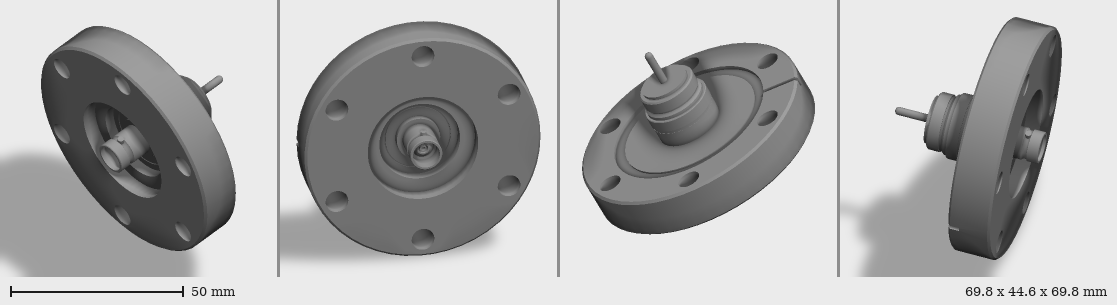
import cadquery as cq
import math

total_length = 44.6

flange_radius = 34.9
flange_thickness = 12.7
flange_chamfer = 0.7
bolt_count = 6
bolt_circle_radius = 29.4
bolt_hole_radius = 3.35

recess_radius = 16.35
recess_depth = 4.6
inner_recess_radius = 11.95
inner_recess_depth = 7.75

gasket_radius = 24.2
gasket_depth = 1.25
seal_edge_radius = 20.95
seal_edge_depth = 0.6
leak_slot_width = 1.5
leak_slot_depth = 3.5
leak_slot_end_x = 23.4

gap_depth = 0.4
tube_gap_radii = (9.5, 9.85)
shoulder_gap_radii = (6.4, 6.7)

tube_radius = 9.65
tube_length = 4.2
neck_radius = 9.6
neck_end = 5.25
collar_radius = 9.85
collar_end = 8.8
collar_chamfer = 0.2
step_radius = 9.0
step_end = 10.6
step_chamfer = 0.8
groove_radius = 8.2
groove_end = 11.3
head_radius = 8.6
head_end = 15.1
head_chamfer = 0.4
undercut_radius = 6.9
undercut_end = 15.3
cap_radius = 7.1
cap_end = 16.15
pin_radius = 1.2

connector_length = 4.9
shoulder_face_y = 6.2
barrel_radius = 4.75
barrel_chamfer = 0.2
barrel_groove_radius = 4.2
barrel_groove_start_y = -1.6
barrel_groove_end_y = 0.2
bayonet_pin_radius = 0.9
bayonet_pin_reach = 5.6
bayonet_pin_y = -0.7

mouth_radius = 4.0
mouth_depth = 5.25
bore_radius = 3.35
taper_end_depth = 5.7
bore_depth = 8.4
insulator_radius = 3.1
insulator_tip_radius = 1.8
insulator_tip_depth = 4.3
insulator_bore_radius = 1.4
insulator_bore_depth = 2.1
contact_radius = 1.0
contact_hole_radius = 0.6
contact_hole_depth = 3.5

front_y = -connector_length
pin_tip_y = front_y + total_length
insulator_tip_y = front_y + insulator_tip_depth


def turned(profile):
    """Close a half profile of (radius, Y) points and turn it about the Y axis."""
    return profile.close().revolve(360, (0, 0, 0), (0, 1, 0))


def ring(inner_radius, outer_radius, start_y, depth):
    """Cylinder or tube about the Y axis, running from start_y towards +Y."""
    disc = cq.Workplane("XZ", origin=(0, start_y, 0)).circle(outer_radius)
    if inner_radius > 0:
        disc = disc.circle(inner_radius)
    return disc.extrude(-depth)


def make_flange():
    flange = ring(0, flange_radius, 0, flange_thickness).edges().chamfer(flange_chamfer)
    flange = flange.cut(ring(0, recess_radius, 0, recess_depth))
    flange = flange.cut(ring(0, inner_recess_radius, 0, inner_recess_depth))

    bolt_holes = (
        cq.Workplane("XZ")
        .polarArray(bolt_circle_radius, 90, 360, bolt_count)
        .circle(bolt_hole_radius)
        .extrude(-flange_thickness)
    )
    flange = flange.cut(bolt_holes)

    flange = flange.cut(ring(0, gasket_radius, flange_thickness - seal_edge_depth, seal_edge_depth))
    flange = flange.cut(ring(seal_edge_radius, gasket_radius, flange_thickness - gasket_depth, gasket_depth))

    leak_slot_start_y = flange_thickness - leak_slot_depth
    slot_run = flange_radius - leak_slot_end_x
    slot_end = (
        cq.Workplane("XZ", origin=(-leak_slot_end_x, leak_slot_start_y, 0))
        .circle(leak_slot_width / 2)
        .extrude(-leak_slot_depth)
    )
    slot_channel = (
        cq.Workplane("XZ", origin=(-leak_slot_end_x - slot_run / 2, leak_slot_start_y, 0))
        .rect(slot_run, leak_slot_width)
        .extrude(-leak_slot_depth)
    )
    return flange.cut(slot_end).cut(slot_channel)


def make_feedthrough():
    """Stepped body and round-nosed pin, starting inside the flange web."""
    back = flange_thickness
    nose_start_y = pin_tip_y - pin_radius
    nose_mid = pin_radius * math.sqrt(0.5)
    profile = (
        cq.Workplane("XY")
        .moveTo(0, back - seal_edge_depth)
        .lineTo(tube_radius, back - seal_edge_depth)
        .lineTo(tube_radius, back + tube_length)
        .lineTo(neck_radius, back + tube_length)
        .lineTo(neck_radius, back + neck_end)
        .lineTo(collar_radius, back + neck_end)
        .lineTo(collar_radius, back + collar_end - collar_chamfer)
        .lineTo(collar_radius - collar_chamfer, back + collar_end)
        .lineTo(step_radius, back + collar_end)
        .lineTo(step_radius, back + step_end - step_chamfer)
        .lineTo(groove_radius, back + step_end)
        .lineTo(groove_radius, back + groove_end)
        .lineTo(head_radius, back + groove_end)
        .lineTo(head_radius, back + head_end - head_chamfer)
        .lineTo(head_radius - head_chamfer, back + head_end)
        .lineTo(undercut_radius, back + head_end)
        .lineTo(undercut_radius, back + undercut_end)
        .lineTo(cap_radius, back + undercut_end)
        .lineTo(cap_radius, back + cap_end)
        .lineTo(pin_radius, back + cap_end)
        .lineTo(pin_radius, nose_start_y)
        .threePointArc((nose_mid, nose_start_y + nose_mid), (0, pin_tip_y))
    )
    return turned(profile)


def make_connector():
    """Shoulder, grooved barrel and the two bayonet pins."""
    groove_middle_y = (barrel_groove_start_y + barrel_groove_end_y) / 2
    shoulder_radius = shoulder_gap_radii[0]
    profile = (
        cq.Workplane("XY")
        .moveTo(0, front_y)
        .lineTo(barrel_radius - barrel_chamfer, front_y)
        .lineTo(barrel_radius, front_y + barrel_chamfer)
        .lineTo(barrel_radius, barrel_groove_start_y)
        .threePointArc((barrel_groove_radius, groove_middle_y), (barrel_radius, barrel_groove_end_y))
        .lineTo(barrel_radius, shoulder_face_y)
        .lineTo(shoulder_radius, shoulder_face_y)
        .lineTo(shoulder_radius, inner_recess_depth + gap_depth)
        .lineTo(0, inner_recess_depth + gap_depth)
    )
    bayonet_pins = (
        cq.Workplane("XY", origin=(0, bayonet_pin_y, -bayonet_pin_reach))
        .circle(bayonet_pin_radius)
        .extrude(2 * bayonet_pin_reach)
    )
    return turned(profile).union(bayonet_pins)


def make_bore():
    """Space inside the barrel, leaving the tapered insulator and its contact standing."""
    bore_profile = (
        cq.Workplane("XY")
        .moveTo(0, front_y)
        .lineTo(mouth_radius, front_y)
        .lineTo(mouth_radius, front_y + mouth_depth)
        .lineTo(bore_radius, front_y + taper_end_depth)
        .lineTo(bore_radius, front_y + bore_depth)
        .lineTo(0, front_y + bore_depth)
    )
    nose_chamfer = insulator_radius - insulator_tip_radius
    insulator = ring(0, insulator_radius, insulator_tip_y, bore_depth - insulator_tip_depth)
    insulator = insulator.faces("<Y").edges().chamfer(nose_chamfer)
    contact_gap = ring(contact_radius, insulator_bore_radius, insulator_tip_y, insulator_bore_depth)
    contact_hole = ring(0, contact_hole_radius, insulator_tip_y, contact_hole_depth)
    return turned(bore_profile).cut(insulator.cut(contact_gap).cut(contact_hole))


result = make_flange()
for gap_radii in (tube_gap_radii, shoulder_gap_radii):
    result = result.cut(ring(*gap_radii, inner_recess_depth, gap_depth))
result = result.union(make_feedthrough()).union(make_connector()).cut(make_bore())